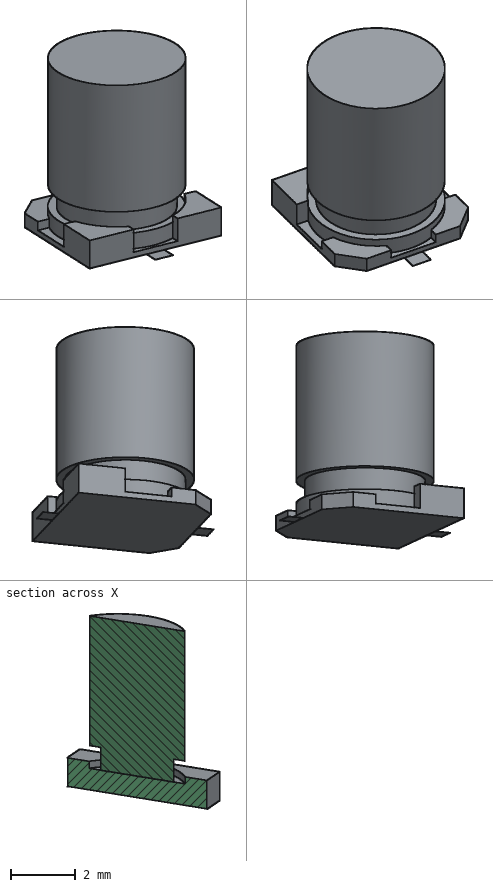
import cadquery as cq


total_height = 5.7
lead_span = 5.5

base_length = 4.5
base_width = 4.8
corner_chamfer = 0.725
slot_floor_height = 0.18
low_corner_height = 0.475
seat_height = 0.72
tall_corner_height = 0.945
side_slot_width = base_length / 3
end_slot_width = base_width / 3

can_diameter = 4.25
neck_diameter = 3.715
can_shoulder_height = 1.45

lead_width = 0.65
lead_thickness = 0.005
lead_length = (lead_span - base_length) / 2


def block(length, width, height):
    """A box centred on the Z axis, standing on the mounting plane."""
    return cq.Workplane("XY").box(length, width, height, centered=(True, True, False))


def disc(diameter, bottom, top):
    """A cylinder on the Z axis between two heights."""
    return cq.Workplane("XY").workplane(offset=bottom).circle(diameter / 2).extrude(top - bottom)


def corner_posts(side, height):
    """The two corner posts at the -X (side = -1) or +X (side = 1) end of the base."""
    post_length = (base_length - side_slot_width) / 2
    post_width = (base_width - end_slot_width) / 2
    post_centers = [
        (side * (base_length - post_length) / 2, -(base_width - post_width) / 2),
        (side * (base_length - post_length) / 2, (base_width - post_width) / 2),
    ]
    return cq.Workplane("XY").pushPoints(post_centers).rect(post_length, post_width).extrude(height)


def make_base():
    """Floor plate with four corner posts around a round seat for the can."""
    frame = block(base_length, base_width, slot_floor_height)
    frame = frame.union(corner_posts(-1, low_corner_height))
    frame = frame.union(corner_posts(1, tall_corner_height))

    envelope = block(base_length, base_width, tall_corner_height)
    frame = frame.intersect(envelope.edges("|Z and <X").chamfer(corner_chamfer))

    bore = disc(can_diameter, slot_floor_height, tall_corner_height)
    seat = disc(can_diameter, slot_floor_height, seat_height)
    return frame.cut(bore).union(seat)


def make_can():
    """Round can on a narrower neck that stands on the seat of the base."""
    neck = disc(neck_diameter, seat_height, can_shoulder_height)
    return neck.union(disc(can_diameter, can_shoulder_height, total_height))


def make_lead(side):
    """Foil lead that runs outwards from the -X (side = -1) or +X (side = 1) end of the base."""
    lead_center = side * (base_length + lead_length) / 2
    return block(lead_length, lead_width, lead_thickness).translate((lead_center, 0, 0))


base = make_base()
can = make_can()
leads = [make_lead(side) for side in (-1, 1)]

result = cq.Compound.makeCompound([base.val(), can.val(), *[lead.val() for lead in leads]])